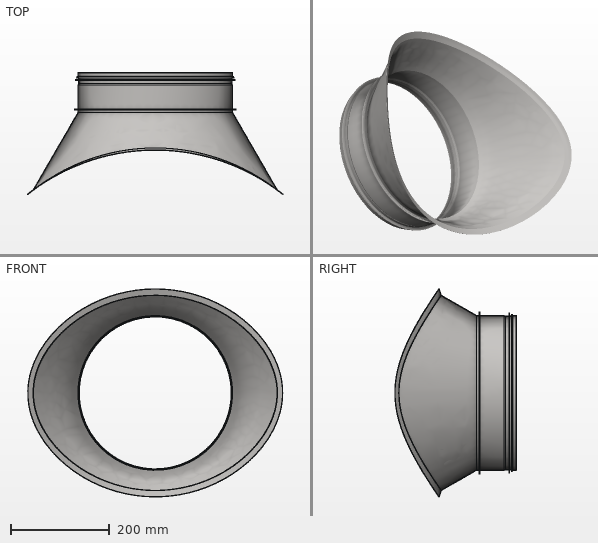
import cadquery as cq
import math


SHEET = 0.5
PIPE_RADIUS = 314.0 / 2
PIPE_BORE_RADIUS = PIPE_RADIUS - SHEET

SPIGOT_FLANGE_RADIUS = 328.5 / 2
SPIGOT_FLANGE_THICKNESS = 1.5
SADDLE_FLANGE_RADIUS = 322.5 / 2

SPIGOT_LENGTH = 76.0
NOSE_RADIUS = 313.0 / 2
NOSE_LENGTH = 1.0
GROOVE_RADIUS = 309.5 / 2
GROOVE_START = 6.5
GROOVE_FLOOR_START = 14.5
GROOVE_FLOOR_END = 22.0
GROOVE_END = 26.0

SEAL_BASE_RADIUS = 312.0 / 2
SLANTED_LIP_ROOT_RADIUS = 317.0 / 2
SLANTED_LIP_TIP_RADIUS = 319.0 / 2
SLANTED_LIP_START = 8.5
SLANTED_LIP_END = 11.0
STRAIGHT_LIP_RADIUS = 324.5 / 2
STRAIGHT_LIP_START = 14.5
STRAIGHT_LIP_END = 16.0

NECK_LENGTH = 5.5
CONE_HALF_ANGLE = 30
CONE_HEIGHT = 71.5
DUCT_RADIUS = 400.0
SADDLE_DEPTH = 171.0
RIM_HALF_LENGTH = 258.5
RIM_HALF_WIDTH = 211.0
RIM_DROP = 4.5
CURVE_SPANS = 48

CREST_Y = -NECK_LENGTH - CONE_HEIGHT
CONE_SLOPE = math.tan(math.radians(CONE_HALF_ANGLE))
CONE_GROWTH = CONE_SLOPE * CONE_HEIGHT

RIM_CREST_Y = CREST_Y - RIM_DROP
RIM_END_DROP = SADDLE_DEPTH + RIM_CREST_Y
RIM_CYLINDER_RADIUS = (RIM_HALF_LENGTH ** 2 + RIM_END_DROP ** 2) / (2 * RIM_END_DROP)
RIM_SLOPE = (RIM_HALF_LENGTH - RIM_HALF_WIDTH) / RIM_END_DROP


def revolved(profile):
    """Solid of revolution about the Y axis from (radius, y) points."""
    return cq.Workplane("XY").polyline(profile).close().revolve(360, (0, 0), (0, 1)).val()


def from_free_end(distance):
    """Y at a distance from the free end of the spigot."""
    return SPIGOT_LENGTH - distance


def make_spigot():
    """Thin pipe with a sealing groove near its free end and a flange at the joint."""
    pipe_outside = [
        (PIPE_RADIUS, from_free_end(GROOVE_END)),
        (GROOVE_RADIUS, from_free_end(GROOVE_FLOOR_END)),
        (GROOVE_RADIUS, from_free_end(GROOVE_FLOOR_START)),
        (PIPE_RADIUS, from_free_end(GROOVE_START)),
        (PIPE_RADIUS, from_free_end(NOSE_LENGTH)),
        (NOSE_RADIUS, SPIGOT_LENGTH),
    ]
    pipe_inside = [(radius - SHEET, y) for radius, y in reversed(pipe_outside)]
    flange = [
        (PIPE_BORE_RADIUS, 0),
        (SPIGOT_FLANGE_RADIUS, 0),
        (SPIGOT_FLANGE_RADIUS, SPIGOT_FLANGE_THICKNESS),
        (PIPE_RADIUS, SPIGOT_FLANGE_THICKNESS),
    ]
    return revolved(flange + pipe_outside + pipe_inside)


def make_seal():
    """Ring on the floor of the groove, with two lips that stand out past the pipe."""
    return revolved([
        (GROOVE_RADIUS, from_free_end(GROOVE_FLOOR_END)),
        (SEAL_BASE_RADIUS, from_free_end(GROOVE_FLOOR_END)),
        (SEAL_BASE_RADIUS, from_free_end(STRAIGHT_LIP_END)),
        (STRAIGHT_LIP_RADIUS, from_free_end(STRAIGHT_LIP_END)),
        (STRAIGHT_LIP_RADIUS, from_free_end(STRAIGHT_LIP_START)),
        (SEAL_BASE_RADIUS, from_free_end(STRAIGHT_LIP_START)),
        (SEAL_BASE_RADIUS, from_free_end(SLANTED_LIP_END)),
        (SLANTED_LIP_TIP_RADIUS, from_free_end(SLANTED_LIP_END)),
        (SLANTED_LIP_ROOT_RADIUS, from_free_end(SLANTED_LIP_START)),
        (GROOVE_RADIUS, from_free_end(GROOVE_FLOOR_START)),
    ])


def saddle_curve(crest_radius, slope, cylinder_radius, crest_y):
    """Closed edge where a cone about Y meets a cylinder along Z.

    The cone has radius crest_radius at crest_y, the height of the cylinder's crest, and its radius
    grows by slope per unit towards -Y. At each angle the drop below the crest solves
    (radius * cos)^2 + (cylinder_radius - drop)^2 = cylinder_radius^2,
    with radius = crest_radius + slope * drop.
    """
    angles = [2 * math.pi * i / CURVE_SPANS for i in range(CURVE_SPANS + 1)]
    points = []
    for angle in angles[:-1]:
        cos = math.cos(angle)
        a = (slope * cos) ** 2 + 1
        half_b = cylinder_radius - crest_radius * slope * cos ** 2
        c = (crest_radius * cos) ** 2
        drop = (half_b - math.sqrt(half_b ** 2 - a * c)) / a
        radius = crest_radius + slope * drop
        points.append(cq.Vector(radius * cos, crest_y - drop, radius * math.sin(angle)))
    return cq.Edge.makeSpline(points, periodic=True, parameters=angles)


def cone_edge(neck_radius):
    return saddle_curve(neck_radius + CONE_GROWTH, CONE_SLOPE, DUCT_RADIUS, CREST_Y)


def rim_edge(lift):
    return saddle_curve(RIM_HALF_WIDTH, RIM_SLOPE, RIM_CYLINDER_RADIUS, RIM_CREST_Y + lift)


def neck_circle(radius):
    """Circle at the end of the neck, starting at +X and turning towards +Z like the saddle curves."""
    origin = cq.Vector(0, 0, 0)
    x_axis = cq.Vector(1, 0, 0)
    upright = cq.Edge.makeCircle(radius).rotate(origin, x_axis, 90)
    return upright.translate(cq.Vector(0, -NECK_LENGTH, 0))


def make_hood():
    """Cone and rim flange: a closed ring of ruled faces, each between two neighbouring edges."""
    edges = [
        neck_circle(PIPE_RADIUS),
        cone_edge(PIPE_RADIUS),
        rim_edge(SHEET),
        rim_edge(0),
        cone_edge(PIPE_BORE_RADIUS),
        neck_circle(PIPE_BORE_RADIUS),
    ]
    faces = [cq.Face.makeRuledSurface(edges[i - 1], edges[i]) for i in range(len(edges))]
    return cq.Solid.makeSolid(cq.Shell.makeShell(faces))


def make_neck():
    """Short pipe between cone and joint, with a flange against the spigot's flange."""
    return revolved([
        (PIPE_BORE_RADIUS, 0),
        (SADDLE_FLANGE_RADIUS, 0),
        (SADDLE_FLANGE_RADIUS, -SHEET),
        (PIPE_RADIUS, -SHEET),
        (PIPE_RADIUS, -NECK_LENGTH),
        (PIPE_BORE_RADIUS, -NECK_LENGTH),
    ])


spigot = make_spigot()
seal = make_seal()
saddle = cq.Workplane(make_hood().fuse(make_neck()))

result = cq.Compound.makeCompound([spigot, seal, *saddle.solids().vals()])